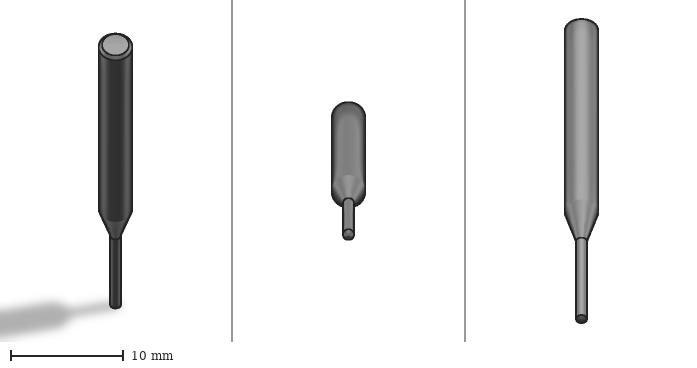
import cadquery as cq
import math

total_length = 38.0
shank_diameter = 3.0
drill_diameter = 1.0

end_chamfer = 0.3
taper_start_depth = 23.85
taper_half_angle = 15.0
collar_length = 0.1

point_angle = 140.0

shank_radius = shank_diameter / 2
drill_radius = drill_diameter / 2
top_z = total_length / 2
tip_z = -total_length / 2
taper_top_z = top_z - taper_start_depth
taper_length = (shank_radius - drill_radius) / math.tan(math.radians(taper_half_angle))
collar_top_z = taper_top_z - taper_length
joint_z = collar_top_z - collar_length
point_height = drill_radius / math.tan(math.radians(point_angle / 2))


def revolve_about_z(profile):
    """Revolve a closed half profile of (radius, z) points about the Z axis."""
    return cq.Workplane("XZ").polyline(profile).close().revolve(360, (0, 0, 0), (0, 1, 0))


def make_shank():
    """Chamfered shank that tapers down to a collar of the drill's diameter."""
    return revolve_about_z([
        (0, joint_z),
        (drill_radius, joint_z),
        (drill_radius, collar_top_z),
        (shank_radius, taper_top_z),
        (shank_radius, top_z - end_chamfer),
        (shank_radius - end_chamfer, top_z),
        (0, top_z),
    ])


def make_drill():
    """Plain cylinder with a conical point, butted against the shank's collar."""
    return revolve_about_z([
        (0, tip_z),
        (drill_radius, tip_z + point_height),
        (drill_radius, joint_z),
        (0, joint_z),
    ])


shank = make_shank()
drill = make_drill()

result = cq.Compound.makeCompound([shank.val(), drill.val()])